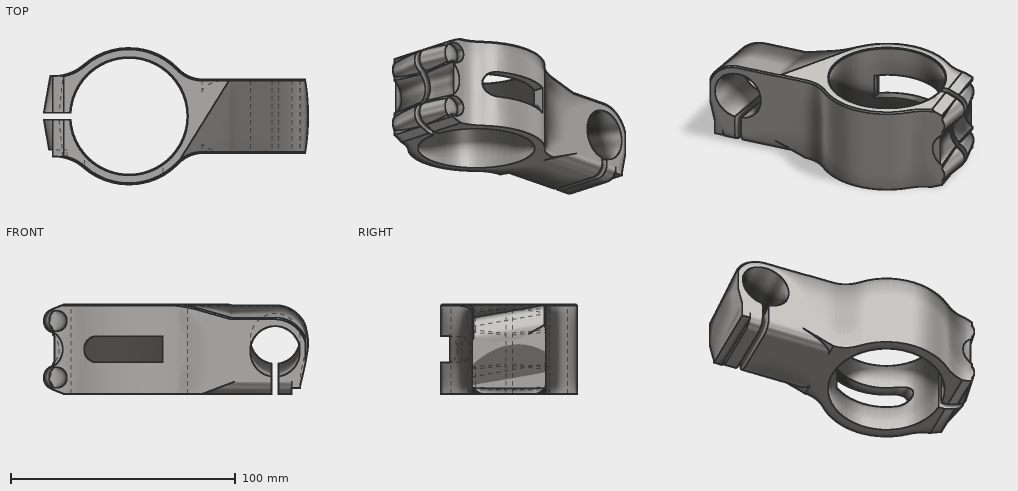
import cadquery as cq
import math

HEIGHT = 40.0
MID_Z = HEIGHT / 2
RING_RADIUS = 30.5
BORE_RADIUS = 26.0
RIM_CHAMFER = 0.7
BORE_CHAMFER = 0.4

EAR_END_X = -34.0
EAR_HALF_WIDTH = 18.0
EAR_BLEND_RADIUS = 20.0
EAR_BOX_LENGTH = 17.0
EAR_CHAMFER_LENGTH = 5.0
EAR_CHAMFER_HEIGHT = 2.0
SPLIT_WIDTH = 3.1

BOSS_RADIUS = 5.45
BOSS_TIP_X = -38.0
BOSS_OFFSET_Z = 12.65
BOSS_SWEEP = 10.0
GROOVE_RADIUS = 9.0
GROOVE_FLOOR_X = -31.4
GROOVE_SWEEP = 6.0
HEAD_RADIUS = 4.6
HEAD_CENTRE_X = -32.3
HEAD_SEAT_Y = -15.0

WINDOW_LEFT_X = -20.0
WINDOW_RIGHT_X = 15.1
WINDOW_HEIGHT = 11.8

ARM_HALF_WIDTH = 16.5
ARM_BLEND_RADIUS = 15.0
ARM_TIP_X = 80.0
ARM_TIP_BULGE = 1.4
BAR_X = 65.2
BAR_Z = 21.9
BAR_RADIUS = 11.1
BAR_TILT = 10.0
CLAMP_RADIUS = ARM_TIP_X - BAR_X
RAMP_END_X = 45.6
RAMP_SLOPE = 0.28
TIP_TAPER_X = 3.5
CLAMP_SLIT_WIDTH = 3.0

ROUND_RADIUS = 5.5
ROUND_START_X = 32.5
ROUND_FULL_X = 47.0
STEP_X = 72.6
STEP_HEIGHT = 2.7

REACH = 100.0
TOP_FACE_NORMAL_Z = 0.9


def blend(half_width, radius):
    """Hollow fillet from the ring to a straight side: end on the ring, middle, end on the side."""
    centre_y = half_width + radius
    centre_distance = RING_RADIUS + radius
    centre_x = math.sqrt(centre_distance**2 - centre_y**2)
    ring_share = RING_RADIUS / centre_distance
    on_ring = (centre_x * ring_share, centre_y * ring_share)
    middle_angle = (math.atan2(-centre_y, -centre_x) - math.pi / 2) / 2
    middle = (
        centre_x + radius * math.cos(middle_angle),
        centre_y + radius * math.sin(middle_angle),
    )
    return on_ring, middle, (centre_x, half_width)


def make_body(height):
    """Ring, ears and arm as one upright block."""
    arm_ring, arm_middle, arm_side = blend(ARM_HALF_WIDTH, ARM_BLEND_RADIUS)
    ear_ring, ear_middle, ear_side = blend(EAR_HALF_WIDTH, EAR_BLEND_RADIUS)
    corner_x = ARM_TIP_X - ARM_TIP_BULGE

    def arm(point, side):
        return (point[0], side * point[1])

    def ear(point, side):
        return (-point[0], side * point[1])

    return (
        cq.Workplane("XY")
        .moveTo(EAR_END_X, -EAR_HALF_WIDTH)
        .lineTo(*ear(ear_side, -1))
        .threePointArc(ear(ear_middle, -1), ear(ear_ring, -1))
        .threePointArc((0, -RING_RADIUS), arm(arm_ring, -1))
        .threePointArc(arm(arm_middle, -1), arm(arm_side, -1))
        .lineTo(corner_x, -ARM_HALF_WIDTH)
        .threePointArc((ARM_TIP_X, 0), (corner_x, ARM_HALF_WIDTH))
        .lineTo(*arm(arm_side, 1))
        .threePointArc(arm(arm_middle, 1), arm(arm_ring, 1))
        .threePointArc((0, RING_RADIUS), ear(ear_ring, 1))
        .threePointArc(ear(ear_middle, 1), ear(ear_side, 1))
        .lineTo(EAR_END_X, EAR_HALF_WIDTH)
        .close()
        .extrude(height)
    )


def along_bar(sketch):
    """Extrude an XZ sketch, drawn about the bar centre, both ways along the tilted bar axis."""
    return (
        sketch.extrude(REACH, both=True)
        .rotate((0, 0, 0), (1, 0, 0), BAR_TILT)
        .translate((BAR_X, 0, BAR_Z))
    )


def make_clamp_envelope():
    """Everything below the tilted arm top and inside the rounded arm tip."""
    ramp_x = RAMP_END_X - BAR_X
    start_z = CLAMP_RADIUS + RAMP_SLOPE * REACH
    half_root = CLAMP_RADIUS * math.sqrt(0.5)
    sketch = (
        cq.Workplane("XZ")
        .moveTo(ramp_x - REACH, -REACH)
        .lineTo(ramp_x - REACH, start_z)
        .lineTo(ramp_x, CLAMP_RADIUS)
        .lineTo(0, CLAMP_RADIUS)
        .threePointArc((half_root, half_root), (CLAMP_RADIUS, 0))
        .lineTo(CLAMP_RADIUS - TIP_TAPER_X, -CLAMP_RADIUS)
        .lineTo(CLAMP_RADIUS - TIP_TAPER_X, -REACH)
        .close()
    )
    return along_bar(sketch)


def make_edge_round(side):
    """Corner removed along one lower arm edge, fading out towards the ring."""
    inner_y = ARM_HALF_WIDTH - ROUND_RADIUS
    diagonal = ROUND_RADIUS * math.sqrt(0.5)
    corner = (
        cq.Workplane("YZ")
        .moveTo(side * inner_y, 0)
        .threePointArc(
            (side * (inner_y + diagonal), ROUND_RADIUS - diagonal),
            (side * ARM_HALF_WIDTH, ROUND_RADIUS),
        )
        .lineTo(side * ARM_HALF_WIDTH, 0)
        .close()
        .extrude(STEP_X)
    )
    lengthwise = (
        cq.Workplane("XZ")
        .moveTo(ROUND_START_X, 0)
        .lineTo(ROUND_FULL_X, ROUND_RADIUS)
        .lineTo(STEP_X, ROUND_RADIUS)
        .lineTo(STEP_X, 0)
        .close()
        .extrude(REACH, both=True)
    )
    return corner.intersect(lengthwise)


def make_tip_step():
    """Material removed below the clamp tip."""
    step = cq.Workplane("XY").box(REACH, REACH, STEP_HEIGHT, centered=(False, True, False))
    return step.translate((STEP_X, 0, 0))


def chamfer_arm_top(solid):
    """Chamfer the edges where the ramp and the tilted arm top meet the side walls."""
    top_faces = [face for face in solid.faces().vals() if face.normalAt().z > TOP_FACE_NORMAL_Z]
    all_edges = [edge for face in top_faces for edge in face.Edges()]
    outline = []
    for edge in all_edges:
        shared = sum(edge.isSame(other) for other in all_edges) > 1
        if not shared and 0 < edge.Center().x < BAR_X - RIM_CHAMFER:
            outline.append(edge)
    return solid.newObject(outline).chamfer(RIM_CHAMFER)


def swept_cylinder(radius, centre_x, centre_z, sweep):
    """Cylinder across the ears, turned by the sweep angle about a vertical line at y = 0."""
    return (
        cq.Workplane("XZ")
        .circle(radius)
        .extrude(REACH / 2, both=True)
        .rotate((0, 0, 0), (0, 0, 1), -sweep)
        .translate((centre_x, 0, centre_z))
    )


def one_ear(solid, side):
    """Keep the part of a solid lying in one ear, clear of the ring bore."""
    ear = cq.Workplane("XY").box(EAR_BOX_LENGTH, EAR_HALF_WIDTH, HEIGHT, centered=(False, False, False))
    ear = ear.translate((BOSS_TIP_X - BOSS_RADIUS, 0, 0))
    if side < 0:
        ear = ear.mirror("XZ")
    return solid.intersect(ear)


def make_boss(side, centre_z):
    """Half boss on one ear; its tip is foremost at the split."""
    sweep = math.radians(BOSS_SWEEP)
    tip_at_middle = BOSS_TIP_X - SPLIT_WIDTH / 2 * math.tan(sweep)
    centre_x = tip_at_middle + BOSS_RADIUS / math.cos(sweep)
    return one_ear(swept_cylinder(BOSS_RADIUS, centre_x, centre_z, side * BOSS_SWEEP), side)


def make_groove(side):
    """Hollow between the two bosses of one ear."""
    centre_x = GROOVE_FLOOR_X - GROOVE_RADIUS / math.cos(math.radians(GROOVE_SWEEP))
    return one_ear(swept_cylinder(GROOVE_RADIUS, centre_x, MID_Z, side * GROOVE_SWEEP), side)


def make_ear_chamfer(end_z, inward):
    """Sloped corner across the front of both ears, at the top or the bottom."""
    return (
        cq.Workplane("XZ")
        .moveTo(EAR_END_X, end_z)
        .lineTo(EAR_END_X + EAR_CHAMFER_LENGTH, end_z)
        .lineTo(EAR_END_X, end_z + inward * EAR_CHAMFER_HEIGHT)
        .close()
        .extrude(REACH, both=True)
    )


def make_window():
    """Opening in the ring wall, rounded at its end nearer the ears."""
    end_radius = WINDOW_HEIGHT / 2
    left_centre_x = WINDOW_LEFT_X + end_radius
    return (
        cq.Workplane("XZ")
        .moveTo(WINDOW_RIGHT_X, MID_Z - end_radius)
        .lineTo(left_centre_x, MID_Z - end_radius)
        .threePointArc((WINDOW_LEFT_X, MID_Z), (left_centre_x, MID_Z + end_radius))
        .lineTo(WINDOW_RIGHT_X, MID_Z + end_radius)
        .close()
        .extrude(REACH)
    )


ramped_block = make_body(REACH).intersect(make_clamp_envelope())
flat_block = make_body(HEIGHT).faces(">Z").chamfer(RIM_CHAMFER)
body = chamfer_arm_top(ramped_block).intersect(flat_block)
for end_z, inward in ((0, 1), (HEIGHT, -1)):
    body = body.cut(make_ear_chamfer(end_z, inward))
for side in (-1, 1):
    body = body.cut(make_edge_round(side)).cut(make_groove(side))
body = body.cut(make_tip_step())

boss_levels = (MID_Z - BOSS_OFFSET_Z, MID_Z + BOSS_OFFSET_Z)
for level in boss_levels:
    for side in (-1, 1):
        body = body.union(make_boss(side, level))
for level in boss_levels:
    head_seat = (
        cq.Workplane("XZ", origin=(HEAD_CENTRE_X, HEAD_SEAT_Y, level))
        .circle(HEAD_RADIUS)
        .extrude(REACH)
    )
    body = body.cut(head_seat)

bore_rim_radius = BORE_RADIUS + BORE_CHAMFER
bore_rim = cq.Solid.makeCone(
    BORE_RADIUS, bore_rim_radius, BORE_CHAMFER, pnt=cq.Vector(0, 0, HEIGHT - BORE_CHAMFER)
)
body = body.cut(cq.Workplane("XY").circle(BORE_RADIUS).extrude(HEIGHT)).cut(bore_rim)
body = body.cut(
    cq.Workplane("XY")
    .box(REACH, SPLIT_WIDTH, HEIGHT, centered=(False, True, False))
    .translate((-REACH, 0, 0))
)
body = body.cut(make_window())

body = body.cut(along_bar(cq.Workplane("XZ").circle(BAR_RADIUS)))
body = body.cut(
    cq.Workplane("XY")
    .box(CLAMP_SLIT_WIDTH, REACH, BAR_Z, centered=(True, True, False))
    .translate((BAR_X, 0, 0))
)

result = body